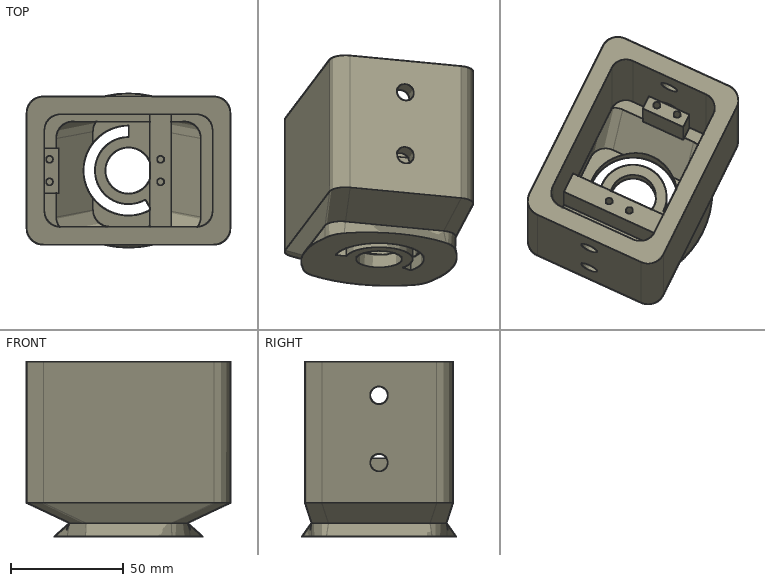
import cadquery as cq
import math

body_length = 91.0
body_width = 66.2
body_height = 63.0
outer_radius = 7.5
wall = 8.0
cavity_radius = 7.0

taper_height = 9.0
foot_height = 6.0
neck_length = 52.8
neck_width = 60.2

foot_length = 66.2
foot_width = 68.9
foot_side_x = 19.3
foot_side_y = 30.1
foot_end_x = 27.5
foot_end_y = 23.6
foot_corner_bulge = 0.7

funnel_top_length = 64.5
funnel_floor_length = 31.7
funnel_width = 50.0
funnel_top_shift = -3.1

center_hole_diameter = 20.5
slot_inner_radius = 15.0
slot_outer_radius = 20.0
slot_start_angle = 90
slot_end_angle = 300

support_height = 19.9
bar_center_x = 14.3
bar_length = 9.5
block_length = 6.4
block_width = 20.0
block_hole_inset = 2.3
screw_diameter = 3.1
screw_spacing = 10.0

cross_hole_diameter = 7.7
cross_hole_depths = (15.0, 45.0)

cavity_length = body_length - 2 * wall
cavity_width = body_width - 2 * wall
cavity_floor_z = foot_height + taper_height
rim_z = cavity_floor_z + body_height


def rounded_wire(length, width, radius, z, shift_y=0.0):
    """Rounded rectangle traced counterclockwise from the right end of its -Y side."""
    x, y = length / 2, width / 2
    sx, sy = x - radius, y - radius
    diagonal = radius * math.sqrt(0.5)
    path = cq.Workplane("XY", origin=(0, shift_y, z)).moveTo(sx, -y)
    path = path.threePointArc((sx + diagonal, -sy - diagonal), (x, -sy)).lineTo(x, sy)
    path = path.threePointArc((sx + diagonal, sy + diagonal), (sx, y)).lineTo(-sx, y)
    path = path.threePointArc((-sx - diagonal, sy + diagonal), (-x, sy)).lineTo(-x, -sy)
    path = path.threePointArc((-sx - diagonal, -sy - diagonal), (-sx, -y)).close()
    return path.val()


def rounded_block(length, width, radius, bottom_z, height):
    outline = rounded_wire(length, width, radius, bottom_z)
    return cq.Workplane(cq.Solid.extrudeLinear(outline, [], cq.Vector(0, 0, height)))


def foot_wire():
    """Foot outline with the same eight segments as a rounded rectangle."""
    sx, sy, ex, ey = foot_side_x, foot_side_y, foot_end_x, foot_end_y
    mx = (sx + ex) / 2 + foot_corner_bulge
    my = (sy + ey) / 2 + foot_corner_bulge
    path = cq.Workplane("XY").moveTo(sx, -sy)
    path = path.threePointArc((mx, -my), (ex, -ey)).threePointArc((foot_length / 2, 0), (ex, ey))
    path = path.threePointArc((mx, my), (sx, sy)).threePointArc((0, foot_width / 2), (-sx, sy))
    path = path.threePointArc((-mx, my), (-ex, ey)).threePointArc((-foot_length / 2, 0), (-ex, -ey))
    path = path.threePointArc((-mx, -my), (-sx, -sy)).threePointArc((0, -foot_width / 2), (sx, -sy))
    return path.close().val()


def ruled_loft(lower, upper):
    return cq.Workplane(cq.Solid.makeLoft([lower, upper], True))


def outer_shell():
    neck = rounded_wire(neck_length, neck_width, outer_radius, foot_height)
    shoulder = rounded_wire(body_length, body_width, outer_radius, cavity_floor_z)
    box = rounded_block(body_length, body_width, outer_radius, cavity_floor_z, body_height)
    return box.union(ruled_loft(neck, shoulder)).union(ruled_loft(foot_wire(), neck))


def cavity():
    box = rounded_block(cavity_length, cavity_width, cavity_radius, cavity_floor_z, body_height)
    floor = rounded_wire(funnel_floor_length, funnel_width, outer_radius, foot_height)
    mouth = rounded_wire(
        funnel_top_length, funnel_width, outer_radius, cavity_floor_z, funnel_top_shift
    )
    return box.union(ruled_loft(floor, mouth))


def polar(radius, angle):
    radians = math.radians(angle)
    return radius * math.cos(radians), radius * math.sin(radians)


def floor_openings():
    """Central hole and the arc slot around it, through the floor and funnel walls."""
    middle_angle = (slot_start_angle + slot_end_angle) / 2
    slot = (
        cq.Workplane("XY")
        .moveTo(*polar(slot_outer_radius, slot_start_angle))
        .threePointArc(
            polar(slot_outer_radius, middle_angle), polar(slot_outer_radius, slot_end_angle)
        )
        .lineTo(*polar(slot_inner_radius, slot_end_angle))
        .threePointArc(
            polar(slot_inner_radius, middle_angle), polar(slot_inner_radius, slot_start_angle)
        )
        .close()
        .extrude(cavity_floor_z)
    )
    return slot.union(cq.Workplane("XY").circle(center_hole_diameter / 2).extrude(cavity_floor_z))


def cross_holes():
    points = [(0, rim_z - depth) for depth in cross_hole_depths]
    holes = cq.Workplane("YZ").pushPoints(points).circle(cross_hole_diameter / 2)
    return holes.extrude(body_length / 2, both=True)


def support(center_x, length, width, hole_x):
    """Upright block with a pair of vertical screw holes."""
    block = cq.Workplane("XY", origin=(center_x, 0, cavity_floor_z)).box(
        length, width, support_height, centered=(True, True, False)
    )
    holes = (
        cq.Workplane("XY", origin=(hole_x, 0, cavity_floor_z))
        .rarray(0.9, screw_spacing, 1, 2)
        .circle(screw_diameter / 2)
        .extrude(support_height)
    )
    return block.cut(holes)


bar = support(bar_center_x, bar_length, cavity_width, bar_center_x)
end_wall_x = -cavity_length / 2
end_block = support(
    end_wall_x + block_length / 2, block_length, block_width, end_wall_x + block_hole_inset
)

housing = outer_shell().cut(cavity()).cut(floor_openings()).cut(cross_holes())
result = housing.union(bar).union(end_block)